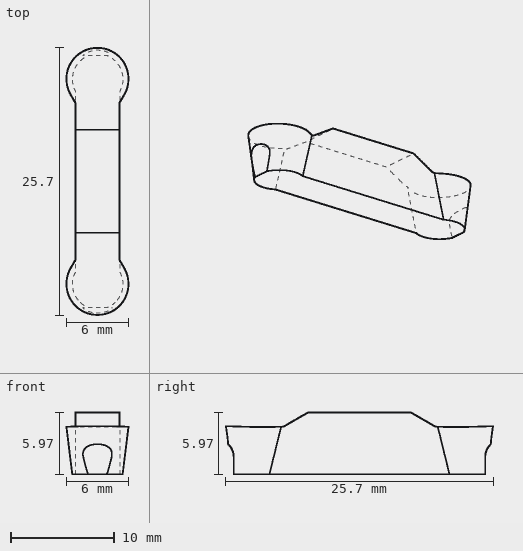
import cadquery as cq
import math

length = 25.73
bar_width = 4.25
bar_height = 5.97
head_diameter = 6.0
dish_height = 4.58
rim_height = 4.65
head_draft = math.radians(7)
neck_angle = math.radians(30)

dish_outer_y = 11.15
dish_inner_y = 7.98
blend_start_y = 7.51
ramp_start_y = 7.18
lip_slope = math.radians(2)
inner_slope = math.radians(0.5)
ramp_slope = math.radians(30)

relief_y = 12.12
relief_height = 1.7
relief_radius = 1.65
relief_sweep = math.radians(60)

head_radius = head_diameter / 2
stock_height = bar_height + 0.25
stock_radius = head_radius + (stock_height - dish_height) * math.tan(head_draft)
base_radius = head_radius - dish_height * math.tan(head_draft)


def arc_rise(run, start_slope, end_slope):
    """Rise of a circular arc whose slope angle changes over a horizontal run."""
    return run * math.tan((start_slope + end_slope) / 2)


head_y = length / 2 - head_radius - (rim_height - dish_height) * math.tan(head_draft)
dish_outer_z = dish_height + arc_rise(dish_outer_y - head_y, 0, lip_slope)
dish_inner_z = dish_height + arc_rise(head_y - dish_inner_y, 0, inner_slope)
blend_start_z = dish_inner_z + (dish_inner_y - blend_start_y) * math.tan(inner_slope)
ramp_start_z = blend_start_z + arc_rise(blend_start_y - ramp_start_y, inner_slope, ramp_slope)
ramp_top_y = ramp_start_y - (bar_height - ramp_start_z) / math.tan(ramp_slope)


def head_outline(radius, height):
    """Round nose closed by two tangent flanks that meet at a point inside the bar."""
    tangent_x = radius * math.cos(neck_angle)
    tangent_y = head_y - radius * math.sin(neck_angle)
    apex_y = head_y - radius / math.sin(neck_angle)
    return (
        cq.Workplane("XY", origin=(0, 0, height))
        .moveTo(0, apex_y)
        .lineTo(tangent_x, tangent_y)
        .threePointArc((0, head_y + radius), (-tangent_x, tangent_y))
        .close()
        .val()
    )


def drafted_head():
    outlines = [head_outline(base_radius, 0), head_outline(stock_radius, stock_height)]
    return cq.Workplane(cq.Solid.makeLoft(outlines, True))


def half_side_profile():
    """Side profile of the +Y half, extruded across the full width."""
    relief_end_y = relief_y + relief_radius * (1 - math.cos(relief_sweep))
    relief_end_z = relief_height + relief_radius * math.sin(relief_sweep)
    lip_rise_rate = (rim_height - dish_outer_z) / (length / 2 - dish_outer_y)
    lip_end_z = dish_outer_z + (relief_end_y - dish_outer_y) * lip_rise_rate
    return (
        cq.Workplane("YZ")
        .lineTo(relief_y, 0)
        .lineTo(relief_y, relief_height)
        .tangentArcPoint((relief_end_y, relief_end_z), relative=False)
        .lineTo(relief_end_y, lip_end_z)
        .lineTo(dish_outer_y, dish_outer_z)
        .tangentArcPoint((head_y, dish_height), relative=False)
        .tangentArcPoint((dish_inner_y, dish_inner_z), relative=False)
        .lineTo(blend_start_y, blend_start_z)
        .tangentArcPoint((ramp_start_y, ramp_start_z), relative=False)
        .lineTo(ramp_top_y, bar_height)
        .lineTo(0, bar_height)
        .close()
        .extrude(2 * head_radius, both=True)
    )


half_bar = cq.Workplane("XY").box(bar_width, head_y, stock_height, centered=(True, False, False))
half_insert = half_bar.union(drafted_head()).intersect(half_side_profile())

result = half_insert.union(half_insert.mirror("XZ")).clean()